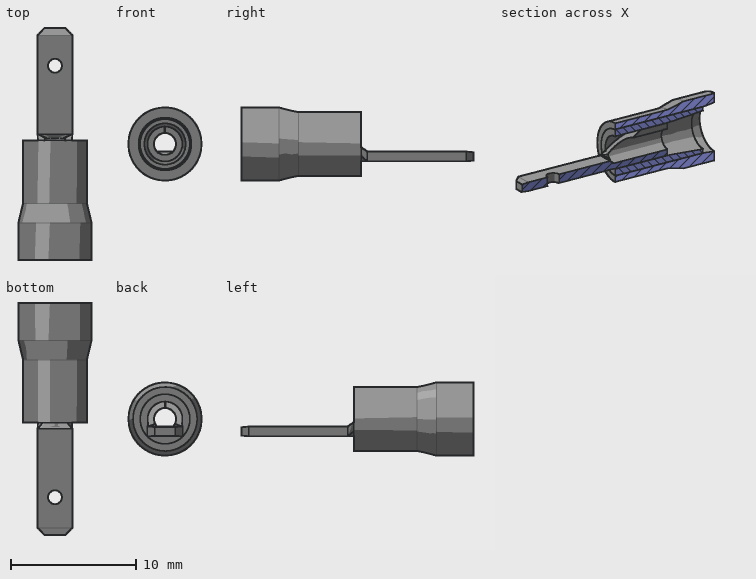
import cadquery as cq
import math

TOTAL_LENGTH = 18.58
MOUTH_Y = -TOTAL_LENGTH / 2
STEP_Y = MOUTH_Y + 1.1
COLLAR_END_Y = MOUTH_Y + 3.0
CONE_END_Y = MOUTH_Y + 4.53
HOUSING_END_Y = MOUTH_Y + 9.59
TROUGH_END_Y = HOUSING_END_Y + 0.17
SHOULDER_Y = MOUTH_Y + 10.09
HOLE_Y = MOUTH_Y + 15.55
TIP_Y = MOUTH_Y + TOTAL_LENGTH

COLLAR_RADIUS = 2.94
BODY_RADIUS = 2.56
ENTRY_RADIUS = 2.12

SLEEVE_RADIUS = 1.99
FUNNEL_RADIUS = 1.65

BARREL_RADIUS = 1.4
BORE_RADIUS = 0.87
SEAM_GAP = 0.04
NECK_TOP_Z = -0.26
BLADE_WIDTH = 2.8
BLADE_THICKNESS = 0.8
BLADE_BOTTOM_Z = -BARREL_RADIUS
BLADE_TOP_Z = BLADE_BOTTOM_Z + BLADE_THICKNESS
HOLE_DIAMETER = 1.1
TIP_LENGTH = 0.6
TIP_WIDTH = 1.67
TIP_BEVEL = 0.05


def revolved(profile):
    """Revolve a closed (radius, y) outline around the Y axis."""
    return cq.Workplane("XY").polyline(profile).close().revolve(360, (0, 0, 0), (0, 1, 0))


def tube(outer_radius, inner_radius, start_y, end_y):
    return revolved([
        (inner_radius, start_y),
        (outer_radius, start_y),
        (outer_radius, end_y),
        (inner_radius, end_y),
    ])


def round_section(y, radius, top_z):
    """Circle cut off flat at top_z, with its arc split into two sides and a bottom."""
    half_chord = math.sqrt(radius**2 - top_z**2)
    corner = radius * math.sqrt(0.5)
    side_angle = (math.asin(top_z / radius) - math.pi / 4) / 2
    side_x = radius * math.cos(side_angle)
    side_z = radius * math.sin(side_angle)
    return (
        cq.Workplane("XZ", origin=(0, y, 0))
        .moveTo(half_chord, top_z)
        .lineTo(-half_chord, top_z)
        .threePointArc((-side_x, side_z), (-corner, -corner))
        .threePointArc((0, -radius), (corner, -corner))
        .threePointArc((side_x, side_z), (half_chord, top_z))
        .close()
        .val()
    )


def flat_section(y, width, bottom_z, top_z):
    half = width / 2
    corners = [(half, top_z), (-half, top_z), (-half, bottom_z), (half, bottom_z)]
    return cq.Workplane("XZ", origin=(0, y, 0)).polyline(corners).close().val()


def ruled_loft(start_wire, end_wire):
    return cq.Workplane(cq.Solid.makeLoft([start_wire, end_wire], True))


def make_housing():
    """Insulating housing with a wide collar and a tapered wire entry."""
    return revolved([
        (ENTRY_RADIUS, MOUTH_Y),
        (COLLAR_RADIUS, MOUTH_Y),
        (COLLAR_RADIUS, COLLAR_END_Y),
        (BODY_RADIUS, CONE_END_Y),
        (BODY_RADIUS, HOUSING_END_Y),
        (SLEEVE_RADIUS, HOUSING_END_Y),
        (SLEEVE_RADIUS, STEP_Y),
    ])


def make_sleeve():
    """Sleeve that funnels the wire into the barrel and then surrounds the barrel."""
    return revolved([
        (FUNNEL_RADIUS, STEP_Y),
        (SLEEVE_RADIUS, STEP_Y),
        (SLEEVE_RADIUS, HOUSING_END_Y),
        (BARREL_RADIUS, HOUSING_END_Y),
        (BARREL_RADIUS, CONE_END_Y),
    ])


def make_barrel():
    """Rolled barrel with a seam on top, cut away on a slope that continues the neck's."""
    barrel = tube(BARREL_RADIUS, BORE_RADIUS, CONE_END_Y, HOUSING_END_Y)
    length = HOUSING_END_Y - CONE_END_Y
    seam = (
        cq.Workplane("XY")
        .box(SEAM_GAP, length, BARREL_RADIUS, centered=(True, False, False))
        .translate((0, CONE_END_Y, 0))
    )
    neck_slope = (NECK_TOP_Z - BLADE_TOP_Z) / (SHOULDER_Y - HOUSING_END_Y)
    slope_start_y = HOUSING_END_Y - (BARREL_RADIUS - NECK_TOP_Z) / neck_slope
    slope = (
        cq.Workplane("YZ")
        .polyline([
            (slope_start_y, BARREL_RADIUS),
            (HOUSING_END_Y, NECK_TOP_Z),
            (HOUSING_END_Y, BARREL_RADIUS),
        ])
        .close()
        .extrude(BARREL_RADIUS, both=True)
    )
    return barrel.cut(seam).cut(slope)


def make_neck():
    """Trough that opens out from the round barrel to the flat blade."""
    neck = ruled_loft(
        round_section(HOUSING_END_Y, BARREL_RADIUS, NECK_TOP_Z),
        flat_section(SHOULDER_Y, BLADE_WIDTH, BLADE_BOTTOM_Z, BLADE_TOP_Z),
    )
    trough = (
        cq.Workplane("XZ", origin=(0, HOUSING_END_Y, 0))
        .circle(BORE_RADIUS)
        .extrude(HOUSING_END_Y - TROUGH_END_Y)
    )
    ramp = ruled_loft(
        round_section(TROUGH_END_Y, BORE_RADIUS, 0),
        flat_section(SHOULDER_Y, BLADE_WIDTH, BLADE_TOP_Z, 0),
    )
    return neck.cut(trough).cut(ramp)


def make_blade():
    """Flat blade with a detent hole and a tapered, bevelled tip."""
    tip_start_y = TIP_Y - TIP_LENGTH
    half_width = BLADE_WIDTH / 2
    half_tip = TIP_WIDTH / 2
    plan = (
        cq.Workplane("XY", origin=(0, 0, BLADE_BOTTOM_Z))
        .polyline([
            (-half_width, SHOULDER_Y),
            (half_width, SHOULDER_Y),
            (half_width, tip_start_y),
            (half_tip, TIP_Y),
            (-half_tip, TIP_Y),
            (-half_width, tip_start_y),
        ])
        .close()
        .extrude(BLADE_THICKNESS)
    )
    side = (
        cq.Workplane("YZ")
        .polyline([
            (SHOULDER_Y, BLADE_BOTTOM_Z),
            (tip_start_y, BLADE_BOTTOM_Z),
            (TIP_Y, BLADE_BOTTOM_Z + TIP_BEVEL),
            (TIP_Y, BLADE_TOP_Z - TIP_BEVEL),
            (tip_start_y, BLADE_TOP_Z),
            (SHOULDER_Y, BLADE_TOP_Z),
        ])
        .close()
        .extrude(half_width, both=True)
    )
    hole = (
        cq.Workplane("XY", origin=(0, HOLE_Y, BLADE_BOTTOM_Z))
        .circle(HOLE_DIAMETER / 2)
        .extrude(BLADE_THICKNESS)
    )
    return plan.intersect(side).cut(hole)


def make_terminal():
    return make_barrel().union(make_neck()).union(make_blade())


housing = make_housing()
sleeve = make_sleeve()
terminal = make_terminal()
result = cq.Compound.makeCompound([housing.val(), sleeve.val(), *terminal.solids().vals()])